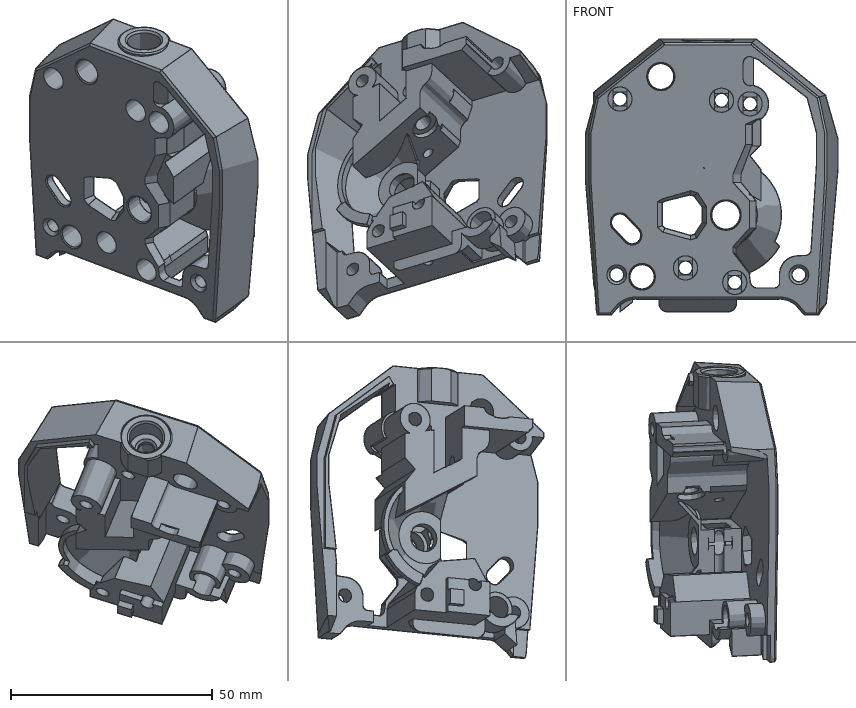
import cadquery as cq
import math


CHAMFER = 0.54
PLATE = 2.58
BODY = 11.85
FLANGE_BACK = 21.5
LOBE_DEPTH = 6.3
LIP = 12.9
BLOCK = 22.9
FULL = 24.7
HEIGHT = 68.69
FAR = 100.0
OVER = 1.0

PATH_Y = 8.25
PATH_D = 2.4
CHIMNEY_R = 6.5
CHIMNEY_BACK = 14.2
CHIMNEY_Z = 60.0
COUPLING_D = 8.3
SEAT_Z = 63.0

GEAR_X, GEAR_Z = 4.48, 24.85
HOUSING_R = 13.85
HOUSING_WALL = 1.2
TIP_R = 15.5

TOP_FRONT_Z, TOP_BACK_Z = 67.7, HEIGHT
FOOT_X = 24.0
ARCH_Z = 3.9
UPPER_Z = 51.8
LEFT_FLAT_X = -28.4
SLOPE_Z = 39.5
INNER_X = -9.4
BLOCK_RIGHT_X = 13.2
BOSS_Z = 51.5
BOSS_RIGHT_X = -2.0
FOOT_POST_Z = 7.6
TAB_Z = 0.74

SCREW_D, SCREW_HEAD_D, SCREW_HEAD_DEPTH = 3.4, 6.0, 6.5
POST_D = 8.0
CONE_D, CONE_DEPTH = 4.9, 1.0
BRIDGE = 0.25
FRAME_SCREW_X, FRAME_SCREW_Z = 22.65, 10.0
LOBE_X, LOBE_Z = 10.5, 52.5
SCREWS = [(-21.85, 53.7), (3.4, 53.4), (LOBE_X, LOBE_Z), (-5.55, 11.7), (6.7, 8.1)]
HOLE_CHAMFER = 0.3
SLOT_W = 4.2
UPPER_HOLE_X, UPPER_HOLE_Z = -11.7, 59.3
LOWER_HOLE_X, LOWER_HOLE_Z = -16.35, 9.5
PLAIN_HOLES = [(UPPER_HOLE_X, UPPER_HOLE_Z, 6.4), (GEAR_X, GEAR_Z, 7.0), (LOWER_HOLE_X, LOWER_HOLE_Z, 6.0)]


def plane_at(y):
    """XZ plane at depth y whose extrusions run toward +Y."""
    return cq.Workplane(cq.Plane((0, y, 0), xDir=(1, 0, 0), normal=(0, -1, 0)))


def prism(points, y0, y1):
    return plane_at(y0).polyline(points).close().extrude(y0 - y1)


def cylinder(x, z, d, y0, y1):
    return plane_at(y0).center(x, z).circle(d / 2).extrude(y0 - y1)


def cone(x, z, d0, d1, y0, y1):
    start = plane_at(y0).center(x, z).circle(d0 / 2)
    return start.workplane(offset=y0 - y1).circle(d1 / 2).loft()


def ruled(points0, points1, y0, y1):
    """Solid with flat faces between two outlines with matching corners."""
    start = plane_at(y0).polyline(points0).close()
    return start.workplane(offset=y0 - y1).polyline(points1).close().loft(ruled=True)


def side_prism(points, x0, x1):
    """YZ outline extruded from x0 to x1."""
    return cq.Workplane("YZ").polyline(points).close().extrude(x1 - x0).translate((x0, 0, 0))


def plan_prism(points, z0, z1):
    """XY outline extruded from z0 to z1."""
    return cq.Workplane("XY").polyline(points).close().extrude(z1 - z0).translate((0, 0, z0))


def box(x0, x1, y0, y1, z0, z1):
    return cq.Workplane("XY").box(x1 - x0, y1 - y0, z1 - z0, centered=False).translate((x0, y0, z0))


def shell():
    """Tapered frame outline with a chamfered front edge."""
    nose = [(27.5, 0), (27.6, 1), (29.6, 33.6), (29.6, 45.3), (27.7, 54.2), (10.95, TOP_FRONT_Z),
            (-10.95, TOP_FRONT_Z), (-27.7, 54.2), (-29.6, 45.3), (-29.6, 33.6), (-27.6, 1), (-27.5, 0)]
    rear = [(27.6, 0), (29.5, 2.9), (32.4, 36.4), (32.4, 43.7), (29.3, 54.65), (12, TOP_BACK_Z),
            (-12, TOP_BACK_Z), (-29.3, 54.65), (-34.3, 44.4), (-34.3, 33.6), (-29.2, 2.9), (-27.6, 0)]
    front = plane_at(CHAMFER).polyline(nose).close().extrude(CHAMFER, taper=45)
    return ruled(nose, rear, CHAMFER, BODY).union(front)


def left_opening():
    """Space behind the plate on the left, below the full-depth upper part."""
    rear_z = 54.4
    slope = [(PLATE, -OVER), (PLATE, UPPER_Z), (BODY + OVER, rear_z), (BODY + OVER, -OVER)]
    space = side_prism(slope, INNER_X - FAR, INNER_X)
    return space.union(box(-FAR, LEFT_FLAT_X, PLATE, FULL, -OVER, HEIGHT))


def inner_cavity():
    """Hollow of the frame that receives the blocks."""
    top_z, right_x = 50, 15
    return box(INNER_X, right_x, PLATE, BODY + OVER, 0, top_z)


def foot_arch():
    """Recess of the underside between the two feet, with a bevelled front edge."""
    foot_side = (21.9, 2.4)
    curve = (20, 3.55)
    flat_x = 17.4

    def arch(y):
        return (plane_at(y).moveTo(-FOOT_X, -OVER).lineTo(-FOOT_X, 0).lineTo(-foot_side[0], foot_side[1])
                .threePointArc((-curve[0], curve[1]), (-flat_x, ARCH_Z)).lineTo(flat_x, ARCH_Z)
                .threePointArc(curve, foot_side).lineTo(FOOT_X, 0).lineTo(FOOT_X, -OVER).close())
    return arch(0).extrude(-BODY - OVER).union(arch(CHAMFER).extrude(CHAMFER, taper=-45))


def foot_relief():
    """Material missing behind both feet and behind the lower right lobe."""
    foot_plate, foot_depth = 1.65, 8
    left_top_z, bevel_top_z = 7, 2.9
    lobe_x0, lobe_x1, lobe_top_z = 12, 27.2, 16.4
    left = box(-FAR, -FOOT_X, foot_plate, FULL, -OVER, left_top_z)
    lobe = box(lobe_x0, lobe_x1, LOBE_DEPTH, FULL, 0, lobe_top_z)
    bevel = [(foot_depth, -OVER), (foot_depth, 0), (BODY, bevel_top_z), (BODY + OVER, bevel_top_z),
             (BODY + OVER, -OVER)]
    return left.union(lobe).union(side_prism(bevel, 0, FAR))


def window():
    """Large opening on the right, widening toward the back along its outer side."""
    outline = (plane_at(-OVER).moveTo(8.8, 58.5).lineTo(8.8, 62.5).threePointArc((9.3, 63.8), (10.5, 64.3))
               .lineTo(12.65, 63.4).lineTo(24.65, 54.0).lineTo(27.0, 45.3).lineTo(27.0, 37.5)
               .lineTo(25.65, 16.3).threePointArc((25.3, 15.3), (24.4, 14.85)).lineTo(22.55, 14.75)
               .threePointArc((19.2, 13.4), (17.8, 10.1)).lineTo(17.8, 7.9)
               .threePointArc((17.45, 7.1), (16.6, 6.75)).lineTo(11.9, 6.75)
               .threePointArc((11.1, 7.2), (10.6, 8.1)).lineTo(10.35, 10.1)
               .lineTo(13.5, 14.0).lineTo(13.5, 46.0).lineTo(12.0, 48.1)
               .lineTo(13.2, 48.7).threePointArc((14.6, 54.6), (11.2, 57.1))
               .threePointArc((9.6, 57.3), (8.8, 58.5)).close().extrude(-BODY - 2 * OVER))
    wall_x0, wall_x1, wall_z0, wall_z1 = 8.8, 11.4, 56, 66
    slanted_wall = [(wall_x0, 0), (wall_x1, PLATE), (wall_x1, BODY),
                    (wall_x0 - OVER, BODY), (wall_x0 - OVER, 0)]
    slanted_wall = plan_prism(slanted_wall, wall_z0, wall_z1)
    inner = [(20, 16.3), (16, 57)]
    outer_front = [(12.65, 63.4), (24.65, 54.0), (27.0, 45.3), (27.0, 37.5), (25.65, 16.3)] + inner
    outer_rear = [(13.4, 63.9), (26.3, 54.6), (29.6, 43.9), (29.6, 36.5), (27.2, 16.3)] + inner
    flare = ruled(outer_front, outer_rear, 0, LIP)
    return outline.cut(slanted_wall).union(flare)


def window_bevel():
    """Slanted wall along the left border of the window, wider at the front."""
    front = [(9.4, 47.4), (9.4, 42.4), (6.2, 34.9), (6.2, 33.0), (10.4, 28.4), (10.4, 21.6),
             (6.3, 17.0), (6.3, 15.5), (10.8, 9.7), (14, 9.7), (14, 48.9), (12.2, 48.7)]
    rear = [(11.0, 47.4), (11.0, 42.4), (8.2, 34.9), (8.2, 33.0), (12.0, 28.4), (12.0, 21.6),
            (7.0, 16.6), (7.0, 15.0), (10.9, 9.8), (14, 9.8), (14, 48.9), (12.4, 48.7)]
    return ruled(front, rear, 0, PLATE)


def gear_window():
    """Five-sided opening beside the gear hole, with slanted walls."""
    front = [(-12.5, 28.1), (-11.2, 28.9), (-4.2, 30.9), (-2.5, 30.3), (-0.3, 26.9), (-0.3, 22.8),
             (-2.8, 19.1), (-4.3, 18.7), (-11.2, 20.6), (-12.5, 21.8)]
    rear = [(-11.3, 27.9), (-10.6, 28.3), (-4.6, 29.8), (-3.5, 29.6), (-1.4, 26.8), (-1.4, 23.0),
            (-3.3, 20.1), (-4.3, 19.8), (-10.6, 21.6), (-11.3, 22.2)]
    return ruled(front, rear, 0, PLATE).union(prism(rear, PLATE, FULL))


def slot_hole():
    """Diagonal slot through the plate with a chamfered front edge."""
    x0, z0, x1, z1 = -21.85, 23.0, -18.8, 19.8
    length = math.hypot(x1 - x0, z1 - z0) + SLOT_W
    angle = math.degrees(math.atan2(z1 - z0, x1 - x0))

    def slot(y):
        return plane_at(y).center((x0 + x1) / 2, (z0 + z1) / 2).slot2D(length, SLOT_W, angle)
    return slot(-OVER).extrude(-FULL).union(slot(HOLE_CHAMFER).extrude(HOLE_CHAMFER, taper=-45))


def chamfered_hole(x, z, d):
    hole = cylinder(x, z, d, -OVER, FULL + OVER)
    return hole.union(cone(x, z, d + 2 * HOLE_CHAMFER, d, 0, HOLE_CHAMFER))


def screw_hole(x, z):
    """Deep screw head bore that narrows to the shank by a slot and a square."""
    half = SCREW_D / 2
    y = SCREW_HEAD_DEPTH
    head = cylinder(x, z, SCREW_HEAD_D, -OVER, y)
    slot = cylinder(x, z, SCREW_HEAD_D, y, y + BRIDGE)
    slot = slot.intersect(box(x - half, x + half, 0, FULL, 0, HEIGHT))
    square = box(x - half, x + half, y, y + 2 * BRIDGE, z - half, z + half)
    return head.union(slot).union(square).union(cylinder(x, z, SCREW_D, y, FULL + OVER))


def frame_screw_hole(x):
    hole = cylinder(x, FRAME_SCREW_Z, SCREW_D, -OVER, FULL)
    return hole.union(cone(x, FRAME_SCREW_Z, CONE_D, SCREW_D, 0, CONE_DEPTH))


def chimney():
    """Round collar around the coupling bore, flat at the back."""
    rim = 0.4
    base = cq.Workplane("XY").workplane(offset=CHIMNEY_Z).center(0, PATH_Y)
    tube = base.circle(CHIMNEY_R).extrude(HEIGHT - CHIMNEY_Z).faces(">Z").chamfer(rim)
    return tube.cut(box(-FAR, FAR, CHIMNEY_BACK, FULL, 0, HEIGHT + OVER))


def filament_path():
    """Coupling bore at the top, stepped and tapered down to the filament bore."""
    guide_d, guide_depth = 4.2, 1.5
    guide_mouth_d = 5.4
    lead_depth = 4.0
    mouth = 0.5

    def bore(d0, d1, z0, z1):
        start = cq.Workplane("XY").workplane(offset=z0).center(0, PATH_Y).circle(d0 / 2)
        return start.workplane(offset=z1 - z0).circle(d1 / 2).loft()
    path = bore(PATH_D, PATH_D, -OVER, HEIGHT)
    path = path.union(bore(PATH_D, guide_d, SEAT_Z - lead_depth, SEAT_Z - guide_depth))
    path = path.union(bore(guide_d, guide_d, SEAT_Z - guide_depth, SEAT_Z))
    path = path.union(bore(guide_d, guide_mouth_d, SEAT_Z - (guide_mouth_d - guide_d) / 2, SEAT_Z))
    path = path.union(bore(COUPLING_D, COUPLING_D, SEAT_Z, HEIGHT))
    return path.union(bore(COUPLING_D, COUPLING_D + 2 * mouth, HEIGHT - mouth, HEIGHT))


def upper_boss():
    """Rearmost boss, lower on the left and notched beneath the upper hole."""
    left_x, top_z, left_top_z = -20.3, 56.7, 55
    bevel = 1.3
    notch_d = 9.8
    boss = (plane_at(PLATE).moveTo(BOSS_RIGHT_X, BOSS_Z).lineTo(BOSS_RIGHT_X, top_z).lineTo(-7.3, top_z)
            .threePointArc((-8.0, 55.5), (INNER_X, left_top_z)).lineTo(left_x, left_top_z)
            .lineTo(left_x, BOSS_Z + bevel).lineTo(left_x + bevel, BOSS_Z).close().extrude(PLATE - FULL))
    return boss.cut(cylinder(UPPER_HOLE_X, UPPER_HOLE_Z, notch_d, BLOCK, FULL))


def central_block():
    """Full-height block behind the plate with a sloped underside and a waisted left side."""
    waist_x = -6
    block = (plane_at(PLATE).moveTo(INNER_X, BOSS_Z).lineTo(INNER_X, 49)
             .threePointArc((-8.8, 47.2), (-7.5, 46)).threePointArc((-6.4, 44.9), (waist_x, 43.4))
             .lineTo(waist_x, SLOPE_Z).lineTo(9.4, 30.5).lineTo(BLOCK_RIGHT_X, 28.4)
             .lineTo(BLOCK_RIGHT_X, 36.2).lineTo(10.5, 39.6).lineTo(BLOCK_RIGHT_X, 42.3)
             .lineTo(BLOCK_RIGHT_X, 48.5).lineTo(6.5, 50).lineTo(BOSS_RIGHT_X, BOSS_Z)
             .close().extrude(PLATE - BLOCK))
    slanted_side = prism([(INNER_X, 49.9), (-5, 38), (INNER_X, 38)], PLATE, BODY)
    recess_right_x = 5.5
    top_recess = prism([(BOSS_RIGHT_X, HEIGHT), (BOSS_RIGHT_X, 43.5), (recess_right_x, 39.2),
                        (recess_right_x, HEIGHT)], BODY, BLOCK)
    bevel_left_x, bevel_depth, bevel_z0, bevel_z1 = 11.1, 7, 42, 49
    bevel = [(bevel_left_x, PLATE), (BLOCK_RIGHT_X, PLATE), (BLOCK_RIGHT_X, bevel_depth)]
    bevel = plan_prism(bevel, bevel_z0, bevel_z1)
    block = block.cut(slanted_side).cut(top_recess).cut(bevel)
    return block.union(cylinder(LOBE_X, LOBE_Z, POST_D, PLATE, BLOCK))


def tension_hole():
    """Counterbored hole square to the sloped underside of the central block."""
    hole_d, bore_d, bore_depth, length = 4.2, 7.0, 1.2, 10
    axis = cq.Plane((-3.8, 16.3, 38.4), xDir=(0, 1, 0), normal=(0.5, 0, 0.87))
    hole = cq.Workplane(axis).circle(hole_d / 2).extrude(length)
    return hole.union(cq.Workplane(axis).circle(bore_d / 2).extrude(bore_depth, both=True))


def gear_housing():
    """Conical shell around the gear with a flat flange and a pointed lower end."""
    front, flange = 13.6, 19.6
    narrow_r = HOUSING_R - (flange - front)
    shape = cone(GEAR_X, GEAR_Z, 2 * narrow_r, 2 * HOUSING_R, front, flange)
    shape = shape.union(cylinder(GEAR_X, GEAR_Z, 2 * narrow_r, LIP, front))
    shape = shape.union(cylinder(GEAR_X, GEAR_Z, 2 * HOUSING_R, flange, FLANGE_BACK))
    tip_y = front + TIP_R - narrow_r
    tip = cone(GEAR_X, GEAR_Z, 2 * narrow_r, 2 * TIP_R, front, tip_y)
    tip = tip.union(cylinder(GEAR_X, GEAR_Z, 2 * TIP_R, tip_y, BLOCK))
    sector = prism([(6, 20), (16.6, 18.3), (20, 15), (10.35, 8), (9, 10.5)], front, BLOCK)
    shape = shape.union(tip.intersect(sector))
    inner_r = HOUSING_R - HOUSING_WALL
    shape = shape.cut(cone(GEAR_X, GEAR_Z, 2 * (narrow_r - HOUSING_WALL), 2 * inner_r, front, flange))
    shape = shape.cut(cylinder(GEAR_X, GEAR_Z, 2 * inner_r, flange, BLOCK))
    return shape.cut(box(-FAR, 0, 0, FULL, 0, FAR))


def gear_block():
    """Block behind the plate carrying the gear shaft and the filament path."""
    pocket_d, pocket_front, pocket_back = 9, 4.9, 11
    top_z, bottom_z = 28.5, 17
    block = prism([(0, top_z), (0, bottom_z), (6.9, bottom_z), (12, 21.7), (12, top_z)], PLATE, LIP)
    return block.cut(cylinder(GEAR_X, GEAR_Z, pocket_d, pocket_front, pocket_back))


def lower_block():
    """Block around the lower screws, with a raised pad and a lug on its back."""
    left_x, right_x, shoulder_z = -9.5, 10, 12.6
    pad_right_x, lug_left_x = 1.7, -2
    lug_z0, lug_z1, lug_back = 5.6, 9.4, 24.5
    outline = [(left_x, ARCH_Z), (left_x, shoulder_z), (-6, 18.6), (3.5, 17), (9.4, 10), (right_x, 8.5),
               (right_x, ARCH_Z)]
    block = prism(outline, PLATE, FLANGE_BACK)
    pad = box(left_x, pad_right_x, FLANGE_BACK, BLOCK, ARCH_Z, shoulder_z)
    return block.union(pad).union(box(lug_left_x, pad_right_x, BLOCK, lug_back, lug_z0, lug_z1))


def lower_tab():
    """Tab below the frame with rounded lower corners and a slanted front."""
    left_x, right_x, corner_r = -12.15, 7.15, 2.2
    slant_y, slant_z = 9.5, 4.4
    tab = box(left_x, right_x, PLATE, LIP, TAB_Z, FOOT_POST_Z).edges("|Y and <Z").fillet(corner_r)
    front = [(PLATE, 0), (PLATE, slant_z), (slant_y, slant_z), (LIP, TAB_Z), (LIP, 0)]
    return tab.cut(side_prism(front, -FAR, FAR))


def left_foot_boss():
    """Round boss around the lower plain hole, with a pointed spur behind the left foot."""
    boss_d, collar_d, collar_back, spur_back = 10.6, 8.2, 10.4, 10
    boss = cylinder(LOWER_HOLE_X, LOWER_HOLE_Z, boss_d, LOBE_DEPTH, LIP)
    boss = boss.intersect(box(-FAR, FAR, 0, FULL, 0, FOOT_POST_Z))
    collar = cylinder(LOWER_HOLE_X, LOWER_HOLE_Z, collar_d, PLATE, collar_back)
    spur = [(-21.9, TAB_Z), (-21.4, FOOT_POST_Z), (-18.7, FOOT_POST_Z), (-18.7, 3.2)]
    return boss.union(collar).union(prism(spur, PLATE, spur_back))


def left_posts():
    """Posts around the upper and lower screws on the left."""
    upper_wall = 0.5
    x, z = SCREWS[0]
    lower = cylinder(-FRAME_SCREW_X, FRAME_SCREW_Z, POST_D, PLATE - OVER, LOBE_DEPTH)
    return lower.union(cylinder(x, z, SCREW_HEAD_D + 2 * upper_wall, PLATE, BODY))


def lip():
    """Locating ridge on the back of the frame beside the window."""
    low_z = 20
    outline = [(12.3, 63.7), (24.65, 54.0), (27, 45.3), (27, low_z), (30.5, low_z), (30.5, 43),
               (27.5, 54.4), (13.5, 65.6)]
    return prism(outline, BODY, LIP)


def build():
    opening = window()
    front_window = opening.intersect(box(-FAR, FAR, -OVER, PLATE, 0, FAR))
    rear_window = opening.cut(box(0, BLOCK_RIGHT_X, PLATE, FULL, 0, LOBE_Z))
    part = shell().cut(left_opening()).cut(foot_arch()).cut(foot_relief()).union(chimney())
    part = part.cut(inner_cavity())
    for feature in (upper_boss(), central_block(), gear_block(), gear_housing(), lower_block(),
                    lower_tab(), left_foot_boss(), left_posts(), lip()):
        part = part.union(feature)
    part = part.cut(front_window).cut(rear_window)
    part = part.cut(window_bevel()).cut(gear_window()).cut(slot_hole())
    part = part.cut(filament_path()).cut(tension_hole())
    for x, z, d in PLAIN_HOLES:
        part = part.cut(chamfered_hole(x, z, d))
    for x, z in SCREWS:
        part = part.cut(screw_hole(x, z))
    for side in (-1, 1):
        part = part.cut(frame_screw_hole(side * FRAME_SCREW_X))
    return part


result = build()